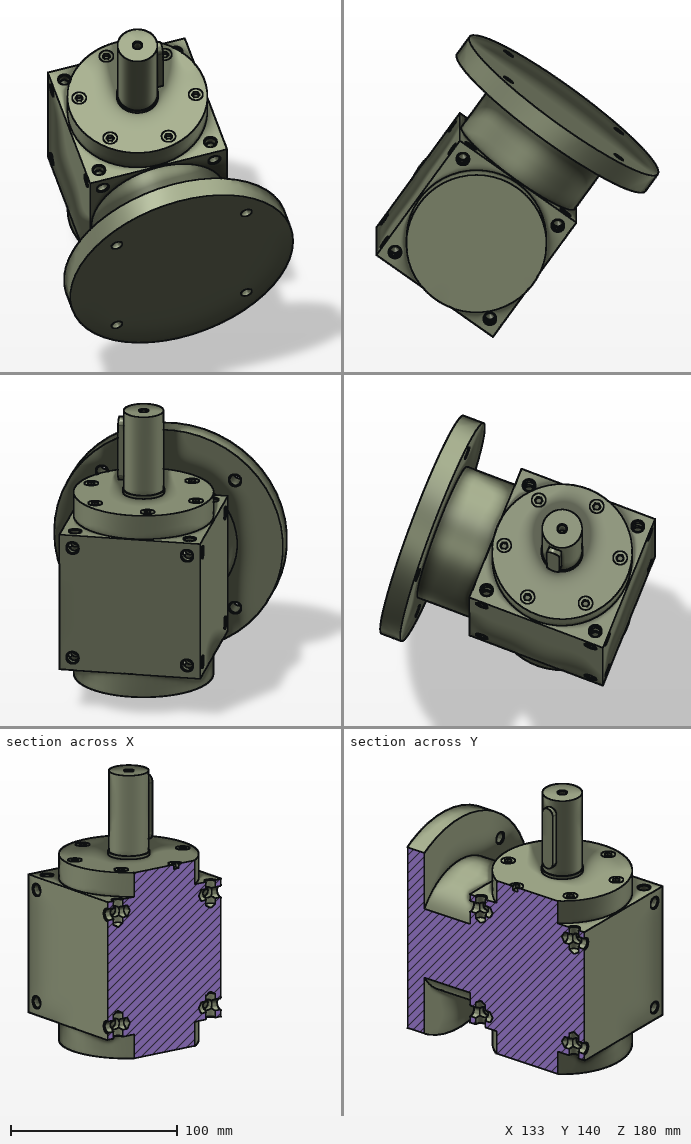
import cadquery as cq
import math


block_side = 86.0
block_half = block_side / 2
cover_diameter = 84.0
cover_height = 15.0
cover_face = block_half + cover_height
neck_diameter = cover_diameter
flange_diameter = 140.0
flange_thickness = 13.0
flange_outer_x = 90.0
flange_inner_x = flange_outer_x - flange_thickness

thread_hole_diameter = 6.7
thread_mouth_diameter = 8.0
thread_hole_depth = 15.0
drill_tip_angle = 120.0
block_hole_spacing = 70.0
flange_hole_count = 4
flange_hole_circle = 115.0
flange_first_hole_angle = 45.0

screw_count = 6
screw_circle = 70.0
screw_first_angle = 15.0
screw_head_diameter = 8.5
screw_head_drop = 0.09
socket_across_flats = 4.0
socket_across_corners = socket_across_flats / math.cos(math.pi / 6)
socket_depth = 2.7

shaft_diameter = 24.0
collar_diameter = 25.0
collar_height = 2.0
shaft_length = 50.0
shoulder_z = cover_face + collar_height
shaft_top = shoulder_z + shaft_length
centre_hole_diameter = 4.9
centre_mouth_diameter = 6.0
centre_hole_depth = 12.0

key_width = 8.0
key_length = 40.0
key_height = 7.0
key_top_y = 15.0
key_floor_y = key_top_y - key_height
key_centre_z = shoulder_z + shaft_length / 2


def drilled_hole(diameter, mouth_diameter, depth):
    """Cutter for a blind hole from the origin along -Z: 45 degree mouth, bore and conical tip."""
    radius = diameter / 2
    mouth_radius = mouth_diameter / 2
    mouth_depth = mouth_radius - radius
    tip_length = radius / math.tan(math.radians(drill_tip_angle / 2))
    return (
        cq.Workplane("XZ")
        .polyline([
            (0, 0),
            (mouth_radius, 0),
            (radius, -mouth_depth),
            (radius, -depth),
            (0, -depth - tip_length),
        ])
        .close()
        .revolve(360, (0, 0), (0, 1))
    )


def block_hole_cutters():
    """Four corner holes in each of the six faces of the block."""
    hole = drilled_hole(thread_hole_diameter, thread_mouth_diameter, thread_hole_depth)
    offset = block_hole_spacing / 2
    top_holes = [
        hole.translate((x, y, block_half))
        for x in (-offset, offset)
        for y in (-offset, offset)
    ]
    around_y = [(0, 1, 0), (0, 90, 180, 270)]
    around_x = [(1, 0, 0), (90, 270)]
    cutters = []
    for axis, angles in (around_y, around_x):
        for angle in angles:
            cutters += [top_hole.rotate((0, 0, 0), axis, angle) for top_hole in top_holes]
    return cutters


def flange_hole_cutter():
    """Through hole along X at the flange axis, with a 45 degree mouth on the inner face."""
    through_depth = flange_thickness + thread_hole_diameter
    hole = drilled_hole(thread_hole_diameter, thread_mouth_diameter, through_depth)
    return hole.rotate((0, 0, 0), (0, 1, 0), -90).translate((flange_inner_x, 0, 0))


def screw_recess():
    """Cutter for one cover screw: shallow head recess with a hexagon socket, a corner facing outwards."""
    head_z = cover_face - screw_head_drop
    head = cq.Workplane("XY", origin=(0, 0, head_z)).circle(screw_head_diameter / 2).extrude(screw_head_drop)
    socket = cq.Workplane("XY", origin=(0, 0, head_z)).polygon(6, socket_across_corners).extrude(-socket_depth)
    return head.union(socket).translate((screw_circle / 2, 0, 0))


def make_housing():
    block = cq.Workplane("XY").box(block_side, block_side, block_side)
    covers = (
        cq.Workplane("XY", origin=(0, 0, -cover_face))
        .circle(cover_diameter / 2)
        .extrude(2 * cover_face)
    )
    neck = cq.Workplane("YZ").circle(neck_diameter / 2).extrude(flange_inner_x)
    flange = (
        cq.Workplane("YZ", origin=(flange_inner_x, 0, 0))
        .circle(flange_diameter / 2)
        .extrude(flange_thickness)
    )
    housing = block.union(covers).union(neck).union(flange)

    for cutter in block_hole_cutters():
        housing = housing.cut(cutter)

    flange_hole = flange_hole_cutter().translate((0, flange_hole_circle / 2, 0))
    for i in range(flange_hole_count):
        angle = flange_first_hole_angle + i * 360 / flange_hole_count
        housing = housing.cut(flange_hole.rotate((0, 0, 0), (1, 0, 0), angle))

    recess = screw_recess()
    for i in range(screw_count):
        angle = screw_first_angle + i * 360 / screw_count
        housing = housing.cut(recess.rotate((0, 0, 0), (0, 0, 1), angle))
    return housing


def make_key():
    """Round-ended key standing out of the +Y side of the shaft."""
    return (
        cq.Workplane("XZ", origin=(0, key_top_y, key_centre_z))
        .slot2D(key_length, key_width, 90)
        .extrude(key_height)
    )


def make_shaft(key):
    """Shaft and collar standing on the top cover, with a centre hole and a keyway that fits the key."""
    collar = (
        cq.Workplane("XY", origin=(0, 0, cover_face))
        .circle(collar_diameter / 2)
        .extrude(collar_height)
    )
    journal = (
        cq.Workplane("XY", origin=(0, 0, shoulder_z))
        .circle(shaft_diameter / 2)
        .extrude(shaft_length)
    )
    centre_hole = drilled_hole(centre_hole_diameter, centre_mouth_diameter, centre_hole_depth)
    return collar.union(journal).cut(centre_hole.translate((0, 0, shaft_top))).cut(key)


housing = make_housing()
key = make_key()
shaft = make_shaft(key)

result = cq.Compound.makeCompound([housing.val(), shaft.val(), key.val()])